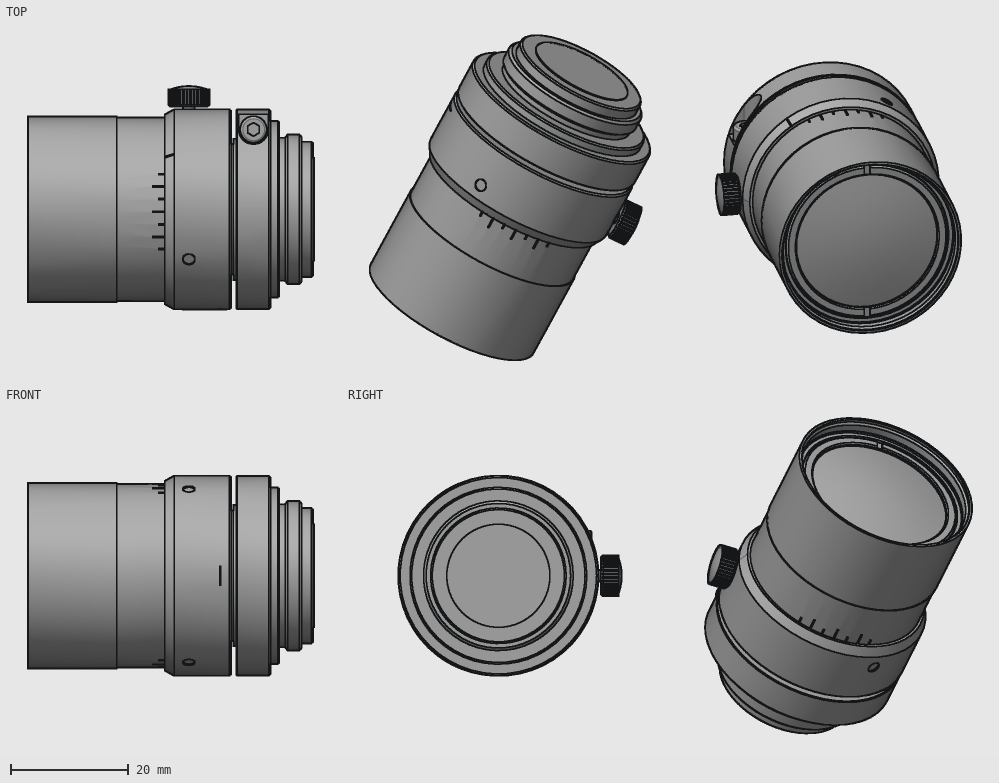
import cadquery as cq
import math

TOTAL_LENGTH = 48.54
EDGE_CHAMFER = 0.3

BARREL_RADIUS = 15.75
SCALE_BAND_START = 15.1
SCALE_BAND_RADIUS = 15.6

FOCUS_RING_RADIUS = 34.0 / 2
FOCUS_RING_START = 23.2
FOCUS_RING_TAPER_END = 24.85
FOCUS_RING_END = 34.45
FOCUS_RING_FRONT_RADIUS = 16.1

NECK_RADIUS = 11.1
NECK_STEP_START = 34.85
NECK_STEP_RADIUS = 12.0

CLAMP_RING_RADIUS = 16.95
CLAMP_RING_START = 35.35
CLAMP_RING_END = 41.15
CLAMP_RING_FRONT_CHAMFER = 0.15
CLAMP_RING_CENTRE = (CLAMP_RING_START + CLAMP_RING_END) / 2

FLANGE_RADIUS = 15.0
FLANGE_END = 42.65
RELIEF_RADIUS = 12.15
MOUNT_THREAD_RADIUS = 12.7
MOUNT_THREAD_START = 43.6
MOUNT_THREAD_END = 46.45
MOUNT_THREAD_CHAMFER = 0.45
REAR_TUBE_RADIUS = 11.5
REAR_TUBE_END = 48.35
REAR_CELL_RADIUS = 8.75

MOUTH_RADIUS = 30.6 / 2
MOUTH_DEPTH = 0.5
MOUTH_TAPER_END = 0.85
FRONT_BORE_RADIUS = 14.9
FRONT_BORE_END = 2.2
BORE_FOOT_RADIUS = 14.8
BORE_FLOOR_DEPTH = 2.6

RETAINER_GROOVE_RADIUS = 14.1
RETAINER_GROOVE_DEPTH = 0.4
RETAINER_OUTER_RADIUS = 28.0 / 2
RETAINER_OUTER_CHAMFER = 0.35
RETAINER_INNER_RADIUS = 24.4 / 2
RETAINER_INNER_CHAMFER = 0.25
SPANNER_SLOT_WIDTH = 1.0
SPANNER_SLOT_DEPTH = 0.5
LENS_EDGE_DEPTH = 3.2
LENS_SAG = 1.5

LOCK_X = 27.3
SET_SCREW_ANGLES = (120, 240)
SET_SCREW_DIAMETER = 2.05
SET_SCREW_RECESS = 0.3

THUMB_NECK_DIAMETER = 2.0
THUMB_NECK_EMBED = 1.0
THUMB_HEAD_DIAMETER = 7.0
THUMB_HEAD_START = 17.4
THUMB_SHOULDER = 20.4
THUMB_TIP = 20.94
THUMB_DOME_RADIUS = 3.0
THUMB_CHAMFER = 0.35
THUMB_GROOVES = 36
THUMB_GROOVE_WIDTH = 0.26

CLAMP_SCREW_Y = 13.56
POCKET_DIAMETER = 5.0
POCKET_FLOOR_Z = 5.15
CLAMP_HEAD_DIAMETER = 4.5
CLAMP_HEAD_HEIGHT = 2.5
CLAMP_HEAD_FILLET = 0.4
HEX_ACROSS_FLATS = 2.0
HEX_DEPTH = 1.2

MARK_WIDTH = 0.2
MARK_DEPTH = 0.1
SHORT_TICK = 1.0
LONG_TICK = 2.0
TICK_COUNT = 7
TICK_PITCH = 8.0
FIRST_TICK_ANGLE = 67.5
SCALE_TURNS = (0, 180)
INDEX_MARK_ANGLE = 56.5
DISTANCE_MARK_ANGLE = 180
DISTANCE_MARK_X = 32.6
DISTANCE_MARK_LENGTH = 3.2
DISTANCE_MARK_DEPTH = 0.2


def make_body():
    """Revolve the stepped body, with its front bore and domed lens, about X."""
    lens_vertex = LENS_EDGE_DEPTH - LENS_SAG
    lens_curve_radius = (RETAINER_INNER_RADIUS**2 + LENS_SAG**2) / (2 * LENS_SAG)
    half_radius = RETAINER_INNER_RADIUS / 2
    half_sag = lens_curve_radius - math.sqrt(lens_curve_radius**2 - half_radius**2)
    groove_floor = BORE_FLOOR_DEPTH + RETAINER_GROOVE_DEPTH
    focus_chamfer_start = FOCUS_RING_END - EDGE_CHAMFER
    clamp_chamfer_start = CLAMP_RING_END - EDGE_CHAMFER
    profile = (
        cq.Workplane("XY")
        .moveTo(lens_vertex, 0)
        .threePointArc((lens_vertex + half_sag, half_radius), (LENS_EDGE_DEPTH, RETAINER_INNER_RADIUS))
        .lineTo(BORE_FLOOR_DEPTH + RETAINER_INNER_CHAMFER, RETAINER_INNER_RADIUS)
        .lineTo(BORE_FLOOR_DEPTH, RETAINER_INNER_RADIUS + RETAINER_INNER_CHAMFER)
        .lineTo(BORE_FLOOR_DEPTH, RETAINER_OUTER_RADIUS - RETAINER_OUTER_CHAMFER)
        .lineTo(BORE_FLOOR_DEPTH + RETAINER_OUTER_CHAMFER, RETAINER_OUTER_RADIUS)
        .lineTo(groove_floor, RETAINER_OUTER_RADIUS)
        .lineTo(groove_floor, RETAINER_GROOVE_RADIUS)
        .lineTo(BORE_FLOOR_DEPTH, RETAINER_GROOVE_RADIUS)
        .lineTo(BORE_FLOOR_DEPTH, BORE_FOOT_RADIUS)
        .lineTo(FRONT_BORE_END, BORE_FOOT_RADIUS)
        .lineTo(FRONT_BORE_END, FRONT_BORE_RADIUS)
        .lineTo(MOUTH_TAPER_END, FRONT_BORE_RADIUS)
        .lineTo(MOUTH_DEPTH, MOUTH_RADIUS)
        .lineTo(0, MOUTH_RADIUS)
        .lineTo(0, BARREL_RADIUS)
        .lineTo(SCALE_BAND_START, BARREL_RADIUS)
        .lineTo(SCALE_BAND_START, SCALE_BAND_RADIUS)
        .lineTo(FOCUS_RING_START, SCALE_BAND_RADIUS)
        .lineTo(FOCUS_RING_START, FOCUS_RING_FRONT_RADIUS)
        .lineTo(FOCUS_RING_TAPER_END, FOCUS_RING_RADIUS)
        .lineTo(focus_chamfer_start, FOCUS_RING_RADIUS)
        .lineTo(FOCUS_RING_END, FOCUS_RING_RADIUS - EDGE_CHAMFER)
        .lineTo(FOCUS_RING_END, NECK_RADIUS)
        .lineTo(NECK_STEP_START, NECK_RADIUS)
        .lineTo(NECK_STEP_START, NECK_STEP_RADIUS)
        .lineTo(CLAMP_RING_START, NECK_STEP_RADIUS)
        .lineTo(CLAMP_RING_START, CLAMP_RING_RADIUS - CLAMP_RING_FRONT_CHAMFER)
        .lineTo(CLAMP_RING_START + CLAMP_RING_FRONT_CHAMFER, CLAMP_RING_RADIUS)
        .lineTo(clamp_chamfer_start, CLAMP_RING_RADIUS)
        .lineTo(CLAMP_RING_END, CLAMP_RING_RADIUS - EDGE_CHAMFER)
        .lineTo(CLAMP_RING_END, FLANGE_RADIUS)
        .lineTo(FLANGE_END - EDGE_CHAMFER, FLANGE_RADIUS)
        .lineTo(FLANGE_END, FLANGE_RADIUS - EDGE_CHAMFER)
        .lineTo(FLANGE_END, RELIEF_RADIUS)
        .lineTo(MOUNT_THREAD_START, RELIEF_RADIUS)
        .lineTo(MOUNT_THREAD_START + MOUNT_THREAD_CHAMFER, MOUNT_THREAD_RADIUS)
        .lineTo(MOUNT_THREAD_END - MOUNT_THREAD_CHAMFER, MOUNT_THREAD_RADIUS)
        .lineTo(MOUNT_THREAD_END, MOUNT_THREAD_RADIUS - MOUNT_THREAD_CHAMFER)
        .lineTo(MOUNT_THREAD_END, REAR_TUBE_RADIUS)
        .lineTo(REAR_TUBE_END - EDGE_CHAMFER, REAR_TUBE_RADIUS)
        .lineTo(REAR_TUBE_END, REAR_TUBE_RADIUS - EDGE_CHAMFER)
        .lineTo(REAR_TUBE_END, REAR_CELL_RADIUS)
        .lineTo(TOTAL_LENGTH, REAR_CELL_RADIUS)
        .lineTo(TOTAL_LENGTH, 0)
        .close()
    )
    return profile.revolve(360, (0, 0, 0), (1, 0, 0))


def turned(shape, angle):
    """Turn a shape made on the +Y side about X; positive angles lead towards +Z."""
    return shape.rotate((0, 0, 0), (1, 0, 0), angle)


def cut_spanner_slots(body):
    """Cut two opposed radial slots across the retaining ring."""
    length = RETAINER_GROOVE_RADIUS - RETAINER_INNER_RADIUS
    middle = (RETAINER_GROOVE_RADIUS + RETAINER_INNER_RADIUS) / 2
    slot = cq.Workplane("XY").box(SPANNER_SLOT_DEPTH, length, SPANNER_SLOT_WIDTH)
    slot = slot.translate((BORE_FLOOR_DEPTH + SPANNER_SLOT_DEPTH / 2, middle, 0))
    for angle in (90, 270):
        body = body.cut(turned(slot, angle))
    return body


def cut_set_screw_recesses(body):
    """Cut the shallow round recesses left above the sunk set screws."""
    recess = (
        cq.Workplane("XZ", origin=(LOCK_X, FOCUS_RING_RADIUS - SET_SCREW_RECESS, 0))
        .circle(SET_SCREW_DIAMETER / 2)
        .extrude(-2 * SET_SCREW_RECESS)
    )
    for angle in SET_SCREW_ANGLES:
        body = body.cut(turned(recess, angle))
    return body


def make_thumb_screw():
    """Build the grooved, domed thumb screw standing on the +Y side."""
    head_radius = THUMB_HEAD_DIAMETER / 2
    head_length = THUMB_SHOULDER - THUMB_HEAD_START
    neck_root = FOCUS_RING_RADIUS - THUMB_NECK_EMBED
    neck = (
        cq.Workplane("XZ", origin=(0, neck_root, 0))
        .circle(THUMB_NECK_DIAMETER / 2)
        .extrude(neck_root - THUMB_HEAD_START)
    )
    head = cq.Workplane("XZ", origin=(0, THUMB_HEAD_START, 0)).circle(head_radius).extrude(-head_length)
    head = head.faces("<Y").chamfer(THUMB_CHAMFER)
    grooves = (
        cq.Workplane("XZ", origin=(0, THUMB_HEAD_START, 0))
        .polarArray(head_radius, 180 / THUMB_GROOVES, 360, THUMB_GROOVES)
        .polygon(4, THUMB_GROOVE_WIDTH)
        .extrude(-head_length)
    )
    dome_height = THUMB_TIP - THUMB_SHOULDER
    dome_curve_radius = (THUMB_DOME_RADIUS**2 + dome_height**2) / (2 * dome_height)
    half_radius = THUMB_DOME_RADIUS / 2
    half_drop = dome_curve_radius - math.sqrt(dome_curve_radius**2 - half_radius**2)
    dome = (
        cq.Workplane("XY")
        .moveTo(0, THUMB_SHOULDER)
        .lineTo(THUMB_DOME_RADIUS, THUMB_SHOULDER)
        .threePointArc((half_radius, THUMB_TIP - half_drop), (0, THUMB_TIP))
        .close()
        .revolve(360, (0, 0, 0), (0, 1, 0))
    )
    return neck.union(head.cut(grooves)).union(dome).translate((LOCK_X, 0, 0))


def add_clamp_screw(body):
    """Cut the clamp ring pocket and seat a hexagon socket screw on its floor."""
    floor = cq.Workplane("XY", origin=(CLAMP_RING_CENTRE, CLAMP_SCREW_Y, POCKET_FLOOR_Z))
    pocket = floor.circle(POCKET_DIAMETER / 2).extrude(CLAMP_RING_RADIUS)
    pocket_exit = floor.rect(POCKET_DIAMETER, CLAMP_RING_RADIUS, centered=(True, False))
    pocket_exit = pocket_exit.extrude(CLAMP_RING_RADIUS)
    head = floor.circle(CLAMP_HEAD_DIAMETER / 2).extrude(CLAMP_HEAD_HEIGHT)
    head = head.faces(">Z").edges().fillet(CLAMP_HEAD_FILLET)
    hex_across_corners = HEX_ACROSS_FLATS / math.cos(math.pi / 6)
    socket_floor = floor.workplane(offset=CLAMP_HEAD_HEIGHT - HEX_DEPTH).transformed(rotate=(0, 0, 30))
    socket = socket_floor.polygon(6, hex_across_corners).extrude(HEX_DEPTH)
    return body.cut(pocket).cut(pocket_exit).union(head.cut(socket))


def cut_scale_ticks(body):
    """Engrave the two opposed rows of short and long aperture ticks."""
    for turn in SCALE_TURNS:
        for number in range(TICK_COUNT):
            length = LONG_TICK if number % 2 else SHORT_TICK
            tick = cq.Workplane("XY").box(length, 2 * MARK_DEPTH, MARK_WIDTH)
            tick = tick.translate((FOCUS_RING_START - length / 2, SCALE_BAND_RADIUS, 0))
            body = body.cut(turned(tick, FIRST_TICK_ANGLE + number * TICK_PITCH + turn))
    return body


def cut_focus_ring_marks(body):
    """Engrave the index mark on the ring's taper and the distance mark on its side."""
    front = (FOCUS_RING_START, FOCUS_RING_FRONT_RADIUS)
    back = (FOCUS_RING_TAPER_END, FOCUS_RING_RADIUS)
    index_mark = (
        cq.Workplane("XY", origin=(0, 0, -MARK_WIDTH / 2))
        .polyline([front, back, (back[0], back[1] - MARK_DEPTH), (front[0], front[1] - MARK_DEPTH)])
        .close()
        .extrude(MARK_WIDTH)
    )
    distance_mark = cq.Workplane("XY").box(MARK_WIDTH, 2 * DISTANCE_MARK_DEPTH, DISTANCE_MARK_LENGTH)
    distance_mark = distance_mark.translate((DISTANCE_MARK_X, FOCUS_RING_RADIUS, 0))
    return body.cut(turned(index_mark, INDEX_MARK_ANGLE)).cut(turned(distance_mark, DISTANCE_MARK_ANGLE))


result = make_body()
result = cut_spanner_slots(result)
result = cut_set_screw_recesses(result)
result = add_clamp_screw(result)
result = cut_scale_ticks(result)
result = cut_focus_ring_marks(result)
result = result.union(make_thumb_screw())